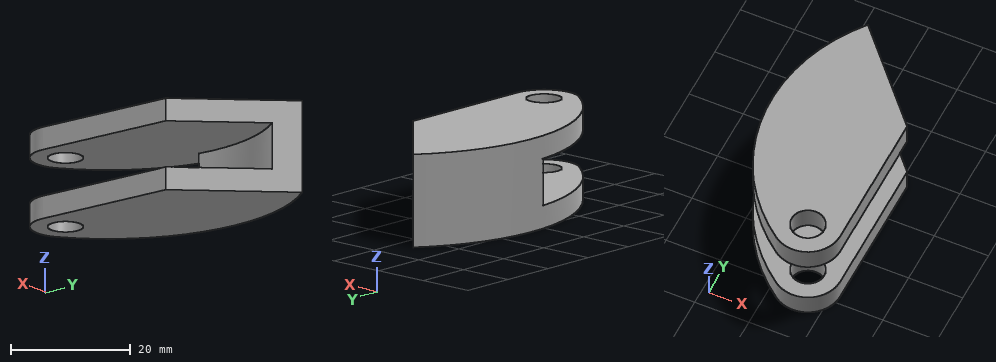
import cadquery as cq
import math

length = 49.0
width = 23.0
thickness = 16.0

pivot_radius = 6.0
hole_diameter = 6.0

tip_x = 7.7
flank_radius = 32.9
straight_edge_top = 32.05

slot_height = 8.05
wall_bottom = 25.0
wall_thickness = 5.0

pivot_x = width - pivot_radius
pivot_y = pivot_radius

flank_x = flank_radius
flank_y = length - math.sqrt(flank_radius**2 - (flank_x - tip_x)**2)
tangent_angle = math.atan2(pivot_y - flank_y, pivot_x - flank_x)
tangent_point = (
    pivot_x + pivot_radius * math.cos(tangent_angle),
    pivot_y + pivot_radius * math.sin(tangent_angle),
)


def make_body():
    """Pointed plate with one curved flank and a round pivot end."""
    return (
        cq.Workplane("XY")
        .moveTo(tip_x, length)
        .lineTo(width, straight_edge_top)
        .lineTo(width, pivot_y)
        .threePointArc((pivot_x, pivot_y - pivot_radius), tangent_point)
        .threePointArc((0, flank_y), (tip_x, length))
        .close()
        .extrude(thickness)
    )


def make_slot():
    """Slot between the arms, bounded by a curved wall along the upper part of the flank."""
    slot_bottom = (thickness - slot_height) / 2
    base = cq.Workplane("XY", origin=(0, 0, slot_bottom))
    inside_wall = base.center(flank_x, flank_y).circle(flank_radius - wall_thickness).extrude(slot_height)
    below_wall = base.rect(width, wall_bottom, centered=False).extrude(slot_height)
    return inside_wall.union(below_wall)


def make_pivot_hole():
    """Round hole through both clevis arms."""
    return cq.Workplane("XY").center(pivot_x, pivot_y).circle(hole_diameter / 2).extrude(thickness)


result = make_body().cut(make_slot()).cut(make_pivot_hole())